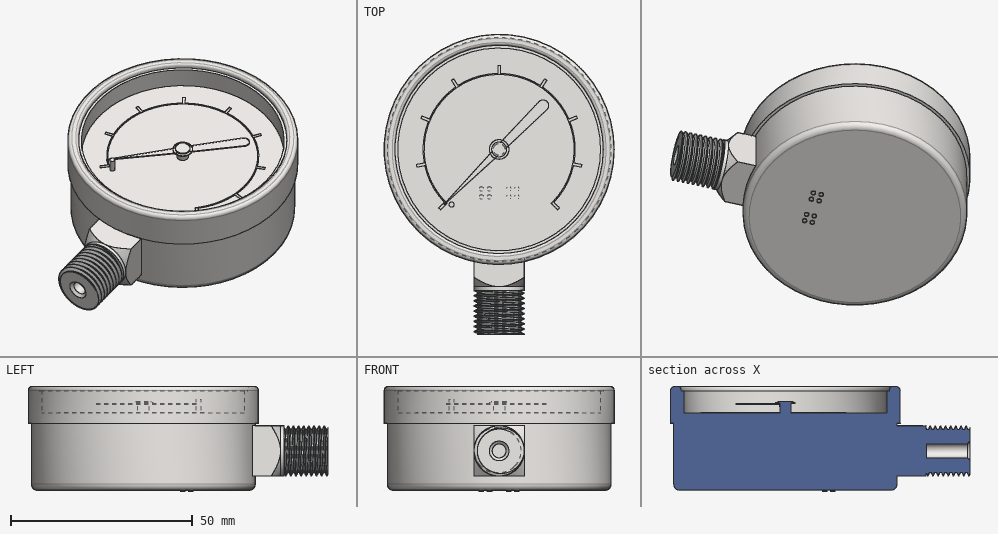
import cadquery as cq
import math

bezel_diameter = 63.25
total_length = 82.42
total_height = 28.83

embed = 0.2

pad_height = 0.25
pad_radius = 0.62
pad_group_x = 3.75
pad_group_y = -11.95
pad_half_spacing = 1.1

case_radius = 30.77
case_bottom_fillet = 1.7
gauge_height = total_height - pad_height
bezel_radius = bezel_diameter / 2
bezel_height = 10.16
bezel_rim_fillet = 1.1

lip_radius = 29.4
ledge_radius = 28.6
ledge_depth = 1.25
dial_radius = 27.85
dial_depth = 7.3
dial_z = gauge_height - dial_depth

scale_radius = 20.75
scale_line_width = 0.3
scale_relief = 0.1
scale_start_angle = -45
scale_sweep = 270
tick_count = 9
tick_width = 0.75
tick_outer_radius = 23.1

pointer_angle = 45
pointer_bottom = 2.3
pointer_thickness = 0.3
pointer_tip_radius = 21.3
pointer_tip_width = 0.1
pointer_hub_width = 2.1
pointer_tail_radius = 17.05
pointer_tail_width = 3.1
shaft_radius = 1.6
hub_radius = 2.7
hub_height = 0.25
button_radius = 2.05
button_height = 0.35
stop_pin_radius = 0.7
stop_pin_height = 3.7
stop_pin_x = -13.05
stop_pin_y = -15.15

stem_z = 10.85
stem_end = total_length - bezel_radius
block_side = 13.9
block_corner_end = 35.1
block_end = 37.7
collar_end = 38.7
thread_radius = 6.9
thread_depth = 0.9
thread_pitch = 25.4 / 18
thread_start = 38.06
thread_crest_width = 0.12
thread_flank_angle = 25
thread_overrun = 2 * thread_pitch
thread_root_overlap = 0.05
bore_radius = 1.9
bore_mouth_radius = 2.7
bore_depth = 12.0


def cylinder(radius, bottom, top):
    return cq.Workplane("XY").workplane(offset=bottom).circle(radius).extrude(top - bottom)


def along_stem(shape):
    """Turn a shape built along +Z so that it runs along -Y on the stem axis."""
    return shape.rotate((0, 0, 0), (1, 0, 0), 90).translate((0, 0, stem_z))


def make_case():
    case = cylinder(case_radius, 0, gauge_height - bezel_height / 2)
    case = case.faces("<Z").edges().fillet(case_bottom_fillet)
    bezel = cylinder(bezel_radius, gauge_height - bezel_height, gauge_height)
    bezel = bezel.faces(">Z").edges().fillet(bezel_rim_fillet)
    return case.union(bezel)


def make_recess():
    ledge_z = gauge_height - ledge_depth
    inward = (-1, 0)
    downward = (0, -1)
    profile = (
        cq.Workplane("XZ")
        .moveTo(0, gauge_height)
        .lineTo(lip_radius, gauge_height)
        .spline([(ledge_radius, ledge_z)], tangents=[inward, downward], includeCurrent=True)
        .lineTo(dial_radius, ledge_z)
        .lineTo(dial_radius, dial_z)
        .lineTo(0, dial_z)
        .close()
    )
    return profile.revolve(360, (0, 0, 0), (0, 1, 0))


def make_scale():
    outer = scale_radius + scale_line_width / 2
    inner = scale_radius - scale_line_width / 2
    height = embed + scale_relief

    def polar(radius, angle):
        return (radius * math.cos(math.radians(angle)), radius * math.sin(math.radians(angle)))

    middle_angle = scale_start_angle + scale_sweep / 2
    end_angle = scale_start_angle + scale_sweep
    scale = (
        cq.Workplane("XY")
        .workplane(offset=dial_z - embed)
        .moveTo(*polar(outer, scale_start_angle))
        .threePointArc(polar(outer, middle_angle), polar(outer, end_angle))
        .lineTo(*polar(inner, end_angle))
        .threePointArc(polar(inner, middle_angle), polar(inner, scale_start_angle))
        .close()
        .extrude(height)
    )
    tick_length = tick_outer_radius - inner
    for index in range(tick_count):
        angle = scale_start_angle + index * scale_sweep / (tick_count - 1)
        tick = (
            cq.Workplane("XY")
            .box(tick_length, tick_width, height, centered=(False, True, False))
            .translate((inner, 0, dial_z - embed))
            .rotate((0, 0, 0), (0, 0, 1), angle)
        )
        scale = scale.union(tick)
    return scale


def make_pointer():
    bottom = dial_z + pointer_bottom
    top = bottom + pointer_thickness
    tail_half = pointer_tail_width / 2
    needle = (
        cq.Workplane("XY")
        .workplane(offset=bottom)
        .moveTo(-pointer_tip_radius, -pointer_tip_width / 2)
        .lineTo(0, -pointer_hub_width / 2)
        .lineTo(pointer_tail_radius, -tail_half)
        .threePointArc((pointer_tail_radius + tail_half, 0), (pointer_tail_radius, tail_half))
        .lineTo(0, pointer_hub_width / 2)
        .lineTo(-pointer_tip_radius, pointer_tip_width / 2)
        .close()
        .extrude(pointer_thickness)
        .rotate((0, 0, 0), (0, 0, 1), pointer_angle)
    )
    shaft = cylinder(shaft_radius, dial_z - embed, top)
    hub_top = top + hub_height
    hub = cylinder(hub_radius, top, hub_top)
    button = cylinder(button_radius, hub_top, hub_top + button_height)
    return needle.union(shaft).union(hub).union(button)


def make_stop_pin():
    pin = cylinder(stop_pin_radius, dial_z - embed, dial_z + stop_pin_height)
    return pin.translate((stop_pin_x, stop_pin_y, 0))


def make_block():
    """Square block whose outer corners are turned down to a round collar."""
    half_side = block_side / 2
    corner_radius = half_side * math.sqrt(2)
    clearance_radius = 2 * corner_radius
    start = case_radius / 2
    square = (
        cq.Workplane("XY")
        .workplane(offset=start)
        .rect(block_side, block_side)
        .extrude(collar_end - start)
    )
    turned_profile = [
        (0, 0),
        (clearance_radius, 0),
        (clearance_radius, block_corner_end),
        (corner_radius, block_corner_end),
        (half_side, block_end),
        (half_side, collar_end),
        (0, collar_end),
    ]
    turned = cq.Workplane("XZ").polyline(turned_profile).close().revolve(360, (0, 0, 0), (0, 1, 0))
    return square.intersect(turned)


def make_thread():
    """Right-hand helical ridge, trimmed flush with the stem end."""
    root_radius = thread_radius - thread_depth
    base_radius = root_radius - thread_root_overlap
    flank_width = (thread_radius - base_radius) * math.tan(math.radians(thread_flank_angle))
    base_width = thread_crest_width + 2 * flank_width
    length = stem_end - thread_start + thread_overrun
    helix = cq.Wire.makeHelix(thread_pitch, length, base_radius)
    ridge = (
        cq.Workplane("XZ")
        .moveTo(base_radius, -base_width / 2)
        .lineTo(thread_radius, -thread_crest_width / 2)
        .lineTo(thread_radius, thread_crest_width / 2)
        .lineTo(base_radius, base_width / 2)
        .close()
        .sweep(cq.Workplane(helix), isFrenet=True)
        .translate((0, 0, thread_start))
    )
    ridge = ridge.intersect(cylinder(2 * thread_radius, block_end, stem_end))
    return cylinder(root_radius, block_end, stem_end).union(ridge)


def make_bore():
    countersink = bore_mouth_radius - bore_radius
    profile = [
        (0, stem_end),
        (bore_mouth_radius, stem_end),
        (bore_radius, stem_end - countersink),
        (bore_radius, stem_end - bore_depth),
        (0, stem_end - bore_depth),
    ]
    return cq.Workplane("XZ").polyline(profile).close().revolve(360, (0, 0, 0), (0, 1, 0))


def make_pads():
    places = []
    for group_x in (-pad_group_x, pad_group_x):
        for dx in (-pad_half_spacing, pad_half_spacing):
            for dy in (-pad_half_spacing, pad_half_spacing):
                places.append((group_x + dx, pad_group_y + dy))
    pads = cq.Workplane("XY").workplane(offset=-pad_height).pushPoints(places)
    return pads.circle(pad_radius).extrude(pad_height + embed)


result = make_case().cut(make_recess())
result = result.union(make_scale()).union(make_pointer()).union(make_stop_pin())
result = result.union(make_pads())
stem = make_block().union(make_thread()).cut(make_bore())
result = result.union(along_stem(stem))